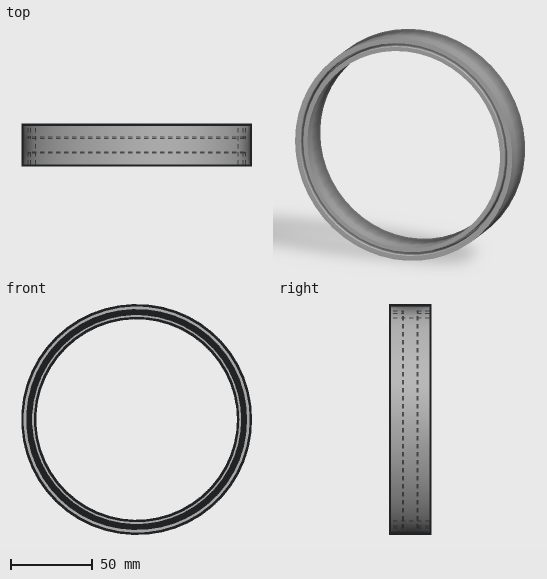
import cadquery as cq

outer_diameter = 140.0
bore_diameter = 124.0
width = 25.0
groove_outer_diameter = 133.0
groove_inner_diameter = 130.0
groove_depth = 8.4
lip_chamfer = 0.4
ridge_width = 0.5
ridge_height = 0.7

outer_radius = outer_diameter / 2
bore_radius = bore_diameter / 2
groove_outer_radius = groove_outer_diameter / 2
groove_inner_radius = groove_inner_diameter / 2
ridge_mid_radius = (groove_outer_radius + groove_inner_radius) / 2
half_width = width / 2


def make_ring():
    """Plain ring about the Y axis, centred on the origin."""
    return (
        cq.Workplane("XZ", origin=(0, half_width, 0))
        .circle(outer_radius)
        .circle(bore_radius)
        .extrude(width)
    )


def make_groove():
    """Annular cutter for the -Y face, with chamfered lips and a low ridge along its floor."""
    face_y = -half_width
    flare_y = face_y + lip_chamfer
    floor_y = face_y + groove_depth
    ridge_y = floor_y - ridge_height
    ridge_inner_radius = ridge_mid_radius - ridge_width / 2
    ridge_outer_radius = ridge_mid_radius + ridge_width / 2
    return (
        cq.Workplane("XY")
        .moveTo(groove_inner_radius - lip_chamfer, face_y)
        .lineTo(groove_inner_radius, flare_y)
        .lineTo(groove_inner_radius, floor_y)
        .lineTo(ridge_inner_radius, ridge_y)
        .lineTo(ridge_outer_radius, ridge_y)
        .lineTo(groove_outer_radius, floor_y)
        .lineTo(groove_outer_radius, flare_y)
        .lineTo(groove_outer_radius + lip_chamfer, face_y)
        .close()
        .revolve(360, (0, 0, 0), (0, 1, 0))
    )


front_groove = make_groove()
back_groove = front_groove.mirror("XZ")
result = make_ring().cut(front_groove).cut(back_groove)